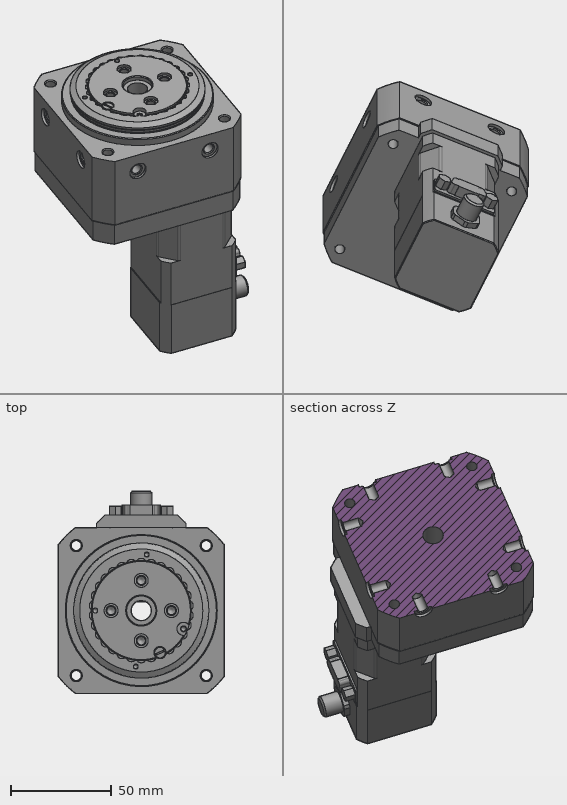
import cadquery as cq
import math


TOP_Z = 155.3
NECK_TOP_Z = 154.7
HOUSING_TOP_Z = 145.4
HOUSING_BOTTOM_Z = 106.0
PLATE_BOTTOM_Z = 94.0
MOTOR_STEP_Z = 30.3

SIDE_COUNT = 4

HOUSING_SIDE = 83.0
HOUSING_CORNER_RADIUS = 53.0
SHOULDER_DIAMETER = 76.0
SHOULDER_HEIGHT = 4.0
SHOULDER_CHAMFER = 0.5
LIP_DIAMETER = 67.5
LIP_TOP_DIAMETER = 61.5
LIP_CHAMFER_HEIGHT = 1.5
LIP_HEIGHT = 1.4
NECK_DIAMETER = 66.8
GROOVE_DIAMETER = 66.2
GROOVE_LAND = 0.5
CORNER_HOLE_DIAMETER = 5.0
CORNER_HOLE_CHAMFER = 0.55
CORNER_HOLE_PITCH = 64.9
SIDE_HOLE_PITCH = 40.0
SIDE_HOLE_DROP = 10.0
NECK_HOLE_RADIUS = 28.1
NECK_HOLE_ANGLES = (84.4, 264.4)

SCALLOP_COUNT = 30
SCALLOP_DIAMETER = 5.0
SCALLOP_CENTRE_RADIUS = 23.6
SCALLOP_DEPTH = 0.6
FIRST_SCALLOP_ANGLE = 6.0

FLANGE_DIAMETER = 50.0
FLANGE_RIM_DIAMETER = 49.0
FLANGE_RIM_HEIGHT = 1.1
FLANGE_THICKNESS = 15.5
BORE_DIAMETER = 10.0
RECESS_DIAMETER = 14.6
RECESS_DEPTH = 2.5
RECESS_CHAMFER = 0.5
FLANGE_HOLE_RADIUS = 15.0
FLANGE_HOLE_COUNT = 4
EDGE_FEATURE_RADIUS = 23.0
DOWEL_HOLE_ANGLE = 180.0
SPOTFACED_HOLE_ANGLE = -23.4
PLUG_ANGLE = -66.0
PLUG_DIAMETER = 6.0
PLUG_DEPTH = 4.7
PLUG_RECESS = 0.3
PLUG_CHAMFER = 0.39
PLUG_SLOT_LENGTH = 4.0
PLUG_SLOT_WIDTH = 0.8
PLUG_SLOT_DEPTH = 0.8

SIDE_HOLE = ((9.0, 0), (9.0, 1.4), (6.0, 1.4), (5.0, 1.9), (5.0, 10.0))
FLANGE_HOLE = ((7.0, 0), (7.0, 1.4), (5.0, 1.4), (4.2, 1.9), (4.2, 10.0))
SPOTFACED_HOLE = ((6.5, 0), (6.5, 2.0), (3.0, 2.0), (2.5, 2.3), (2.5, 7.8))
NECK_HOLE = ((2.5, 0), (2.2, 0.3), (2.2, 5.5))
DOWEL_HOLE = ((2.5, 0), (2.5, 0.5))
DRILL_POINT_ANGLE = 118.0

PLATE_SIDE = 81.7
PLATE_CORNER_RADIUS = 52.5
TONGUE_WIDTH = 44.7
TONGUE_END_Y = 47.8
TONGUE_CHAMFER = 4.3

MOTOR_Y = 25.5
MOTOR_SIDE = 41.6
MOTOR_FOOT_WIDTH = 41.8
MOTOR_FOOT_LENGTH = 42.5
MOTOR_CORNER_RADIUS = 26.9
MOTOR_FOOT_CHAMFER = 0.5
POCKET_BOTTOM_Z = 56.0
POCKET_TOP_Z = 83.1
POCKET_EDGE = 11.8
POCKET_EDGE_RADIUS = 2.0

D_CONNECTOR_Z = 37.9
D_PLATE_WIDTH = 32.6
D_PLATE_HEIGHT = 12.5
D_PLATE_CORNER_RADIUS = 1.5
D_PLATE_END_Y = 47.2
D_SHELL_TOP_WIDTH = 16.2
D_SHELL_BOTTOM_WIDTH = 20.5
D_SHELL_CORNER_RADIUS = 1.9
D_SHELL_HEIGHT = 7.3
D_PAD_WIDTH = 11.0
D_PAD_HEIGHT = 8.0
D_SHELL_END_Y = 52.8
STANDOFF_PITCH = 25.8
STANDOFF_CORNER_DIAMETER = 7.0
STANDOFF_END_Y = 52.2

HEX_SIDES = 6
HEX_TURN = 30.0

ROUND_CONNECTOR_Z = 12.7
ROUND_CONNECTOR_DIAMETER = 10.9
ROUND_CONNECTOR_END_Y = 59.6
ROUND_CONNECTOR_CHAMFER = 1.0
NUT_ACROSS_FLATS = 14.3
NUT_DIAMETER = 15.5
NUT_END_Y = 49.7


def cylinder(diameter, bottom_z, top_z):
    return cq.Workplane("XY").workplane(offset=bottom_z).circle(diameter / 2).extrude(top_z - bottom_z)


def round_cornered_block(width, length, corner_radius, bottom_z, top_z):
    """Rectangular block about the Z axis whose corners lie on one cylinder."""
    block = cq.Workplane("XY").workplane(offset=bottom_z).rect(width, length).extrude(top_z - bottom_z)
    return block.intersect(cylinder(2 * corner_radius, bottom_z, top_z))


def polar_point(radius, angle):
    return (radius * math.cos(math.radians(angle)), radius * math.sin(math.radians(angle)))


def blind_hole(outline):
    """Cutter for a blind hole down from the origin, with a conical drill point."""
    end_diameter, end_depth = outline[-1]
    point_depth = end_diameter / 2 / math.tan(math.radians(DRILL_POINT_ANGLE / 2))
    profile = cq.Workplane("XZ")
    for diameter, depth in outline:
        profile = profile.lineTo(diameter / 2, -depth)
    return profile.lineTo(0, -end_depth - point_depth).close().revolve(360, (0, 0), (0, 1))


def chamfered_mouth(diameter, chamfer, top_z):
    """Cutter for the 45 degree chamfer at the mouth of a vertical hole."""
    cone = cq.Solid.makeCone(diameter / 2, diameter / 2 + chamfer, chamfer)
    return cq.Workplane(cone.translate((0, 0, top_z - chamfer)))


def at_corners(cutter):
    """One cutter holding a copy of the given one at each of the four corner holes."""
    offset = CORNER_HOLE_PITCH / 2
    copies = cq.Workplane("XY")
    for x in (-offset, offset):
        for y in (-offset, offset):
            copies = copies.union(cutter.translate((x, y, 0)))
    return copies


def plug_cylinder(top_z):
    """Cylinder of the plug that sits astride the joint of flange and housing."""
    x, y = polar_point(EDGE_FEATURE_RADIUS, PLUG_ANGLE)
    return cylinder(PLUG_DIAMETER, TOP_Z - PLUG_DEPTH, top_z).translate((x, y, 0))


def slotted_plug():
    plug = plug_cylinder(TOP_Z - PLUG_RECESS).faces(">Z").chamfer(PLUG_CHAMFER)
    slot = (
        cq.Workplane("XY")
        .workplane(offset=TOP_Z - PLUG_RECESS - PLUG_SLOT_DEPTH)
        .center(EDGE_FEATURE_RADIUS, 0)
        .rect(PLUG_SLOT_WIDTH, PLUG_SLOT_LENGTH)
        .extrude(PLUG_SLOT_DEPTH)
        .rotate((0, 0, 0), (0, 0, 1), PLUG_ANGLE)
    )
    return plug.cut(slot)


def flange_blank():
    """Output flange without its holes, stepped in to a smaller rim at the top."""
    rim_bottom_z = TOP_Z - FLANGE_RIM_HEIGHT
    body = cylinder(FLANGE_DIAMETER, TOP_Z - FLANGE_THICKNESS, rim_bottom_z)
    return body.union(cylinder(FLANGE_RIM_DIAMETER, rim_bottom_z, TOP_Z))


def scallops():
    cutter = cq.Workplane("XY")
    for index in range(SCALLOP_COUNT):
        x, y = polar_point(SCALLOP_CENTRE_RADIUS, FIRST_SCALLOP_ANGLE + index * 360 / SCALLOP_COUNT)
        scallop = cylinder(SCALLOP_DIAMETER, NECK_TOP_Z - SCALLOP_DEPTH, NECK_TOP_Z)
        cutter = cutter.union(scallop.translate((x, y, 0)))
    return cutter


def housing_neck():
    """Turned shoulder and lipped neck on top of the housing."""
    shoulder_top_z = HOUSING_TOP_Z + SHOULDER_HEIGHT
    lip_top_z = NECK_TOP_Z - LIP_CHAMFER_HEIGHT
    lip_bottom_z = lip_top_z - LIP_HEIGHT
    groove_top_z = lip_bottom_z - GROOVE_LAND
    groove_bottom_z = shoulder_top_z + GROOVE_LAND
    return (
        cq.Workplane("XZ")
        .moveTo(0, HOUSING_TOP_Z)
        .lineTo(SHOULDER_DIAMETER / 2, HOUSING_TOP_Z)
        .lineTo(SHOULDER_DIAMETER / 2, shoulder_top_z - SHOULDER_CHAMFER)
        .lineTo(SHOULDER_DIAMETER / 2 - SHOULDER_CHAMFER, shoulder_top_z)
        .lineTo(NECK_DIAMETER / 2, shoulder_top_z)
        .lineTo(NECK_DIAMETER / 2, groove_bottom_z)
        .lineTo(GROOVE_DIAMETER / 2, groove_bottom_z)
        .lineTo(GROOVE_DIAMETER / 2, groove_top_z)
        .lineTo(NECK_DIAMETER / 2, groove_top_z)
        .lineTo(NECK_DIAMETER / 2, lip_bottom_z)
        .lineTo(LIP_DIAMETER / 2, lip_bottom_z)
        .lineTo(LIP_DIAMETER / 2, lip_top_z)
        .lineTo(LIP_TOP_DIAMETER / 2, NECK_TOP_Z)
        .lineTo(0, NECK_TOP_Z)
        .close()
        .revolve(360, (0, 0), (0, 1))
    )


def make_housing():
    body = round_cornered_block(HOUSING_SIDE, HOUSING_SIDE, HOUSING_CORNER_RADIUS, HOUSING_BOTTOM_Z, HOUSING_TOP_Z)
    body = body.union(housing_neck())
    body = body.cut(cylinder(FLANGE_DIAMETER, TOP_Z - FLANGE_THICKNESS, TOP_Z))
    body = body.cut(scallops())
    body = body.cut(plug_cylinder(TOP_Z))
    body = body.cut(cylinder(BORE_DIAMETER, HOUSING_BOTTOM_Z, TOP_Z))
    corner_hole = cylinder(CORNER_HOLE_DIAMETER, HOUSING_BOTTOM_Z, HOUSING_TOP_Z)
    corner_hole = corner_hole.union(chamfered_mouth(CORNER_HOLE_DIAMETER, CORNER_HOLE_CHAMFER, HOUSING_TOP_Z))
    body = body.cut(at_corners(corner_hole))

    neck_hole = blind_hole(NECK_HOLE)
    for angle in NECK_HOLE_ANGLES:
        x, y = polar_point(NECK_HOLE_RADIUS, angle)
        body = body.cut(neck_hole.translate((x, y, NECK_TOP_Z)))

    front_hole = blind_hole(SIDE_HOLE).rotate((0, 0, 0), (1, 0, 0), 90)
    hole_z = HOUSING_TOP_Z - SIDE_HOLE_DROP
    for side in range(SIDE_COUNT):
        for x in (-SIDE_HOLE_PITCH / 2, SIDE_HOLE_PITCH / 2):
            hole = front_hole.translate((x, -HOUSING_SIDE / 2, hole_z))
            body = body.cut(hole.rotate((0, 0, 0), (0, 0, 1), side * 360 / SIDE_COUNT))
    return body


def make_output_flange():
    flange = flange_blank()
    flange = flange.cut(cylinder(BORE_DIAMETER, TOP_Z - FLANGE_THICKNESS, TOP_Z))
    flange = flange.cut(cylinder(RECESS_DIAMETER, TOP_Z - RECESS_DEPTH, TOP_Z))
    flange = flange.cut(chamfered_mouth(RECESS_DIAMETER, RECESS_CHAMFER, TOP_Z))

    mounting_hole = blind_hole(FLANGE_HOLE)
    for index in range(FLANGE_HOLE_COUNT):
        x, y = polar_point(FLANGE_HOLE_RADIUS, index * 360 / FLANGE_HOLE_COUNT)
        flange = flange.cut(mounting_hole.translate((x, y, TOP_Z)))

    x, y = polar_point(EDGE_FEATURE_RADIUS, DOWEL_HOLE_ANGLE)
    dowel_hole = blind_hole(DOWEL_HOLE)
    flange = flange.cut(dowel_hole.translate((x, y, TOP_Z)))

    x, y = polar_point(EDGE_FEATURE_RADIUS, SPOTFACED_HOLE_ANGLE)
    flange = flange.cut(blind_hole(SPOTFACED_HOLE).translate((x, y, TOP_Z)))

    return flange.cut(plug_cylinder(TOP_Z)).union(slotted_plug())


def make_base_plate():
    plate = round_cornered_block(PLATE_SIDE, PLATE_SIDE, PLATE_CORNER_RADIUS, PLATE_BOTTOM_Z, HOUSING_BOTTOM_Z)
    tongue = (
        cq.Workplane("XY")
        .workplane(offset=PLATE_BOTTOM_Z)
        .center(0, TONGUE_END_Y / 2)
        .rect(TONGUE_WIDTH, TONGUE_END_Y)
        .extrude(HOUSING_BOTTOM_Z - PLATE_BOTTOM_Z)
        .edges("|Z and >Y")
        .chamfer(TONGUE_CHAMFER)
    )
    plate = plate.union(tongue)
    plate = plate.cut(cylinder(BORE_DIAMETER, PLATE_BOTTOM_Z, HOUSING_BOTTOM_Z))
    return plate.cut(at_corners(cylinder(CORNER_HOLE_DIAMETER, PLATE_BOTTOM_Z, HOUSING_BOTTOM_Z)))


def corner_pocket():
    """Cutter for the +X +Y motor corner: a 45 degree flat rounded into both sides."""
    side = MOTOR_SIDE / 2
    along = POCKET_EDGE + POCKET_EDGE_RADIUS * math.sin(math.radians(45))
    inward = side - POCKET_EDGE_RADIUS * (1 - math.cos(math.radians(45)))
    return (
        cq.Workplane("XY")
        .workplane(offset=POCKET_BOTTOM_Z)
        .moveTo(POCKET_EDGE, side)
        .radiusArc((along, inward), POCKET_EDGE_RADIUS)
        .lineTo(inward, along)
        .radiusArc((side, POCKET_EDGE), POCKET_EDGE_RADIUS)
        .lineTo(side, side)
        .close()
        .extrude(POCKET_TOP_Z - POCKET_BOTTOM_Z)
    )


def motor_body():
    """Square motor with a slightly larger foot and a pocket at each corner, about the Z axis."""
    upper = round_cornered_block(MOTOR_SIDE, MOTOR_SIDE, MOTOR_CORNER_RADIUS, MOTOR_STEP_Z, PLATE_BOTTOM_Z)
    foot = round_cornered_block(MOTOR_FOOT_WIDTH, MOTOR_FOOT_LENGTH, MOTOR_CORNER_RADIUS, 0, MOTOR_STEP_Z)
    body = upper.union(foot.faces("<Z").chamfer(MOTOR_FOOT_CHAMFER))
    for corner in range(SIDE_COUNT):
        body = body.cut(corner_pocket().rotate((0, 0, 0), (0, 0, 1), corner * 360 / SIDE_COUNT))
    return body


def back_sketch(z):
    """Sketch plane through the motor axis at height z; negative extrusions run towards +Y."""
    return cq.Workplane("XZ", origin=(0, MOTOR_Y, z))


def d_connector():
    plate = back_sketch(D_CONNECTOR_Z).rect(D_PLATE_WIDTH, D_PLATE_HEIGHT)
    plate = plate.extrude(MOTOR_Y - D_PLATE_END_Y).edges("|Y").fillet(D_PLATE_CORNER_RADIUS)
    shell = back_sketch(D_CONNECTOR_Z).polyline(
        [
            (-D_SHELL_TOP_WIDTH / 2, D_SHELL_HEIGHT / 2),
            (D_SHELL_TOP_WIDTH / 2, D_SHELL_HEIGHT / 2),
            (D_SHELL_BOTTOM_WIDTH / 2, -D_SHELL_HEIGHT / 2),
            (-D_SHELL_BOTTOM_WIDTH / 2, -D_SHELL_HEIGHT / 2),
        ]
    )
    shell = shell.close().extrude(MOTOR_Y - D_SHELL_END_Y).edges("|Y").fillet(D_SHELL_CORNER_RADIUS)
    pad = back_sketch(D_CONNECTOR_Z).rect(D_PAD_WIDTH, D_PAD_HEIGHT)
    pad = pad.extrude(MOTOR_Y - D_SHELL_END_Y)
    connector = plate.union(shell).union(pad)
    for x in (-STANDOFF_PITCH / 2, STANDOFF_PITCH / 2):
        standoff = back_sketch(D_CONNECTOR_Z).polygon(HEX_SIDES, STANDOFF_CORNER_DIAMETER)
        standoff = standoff.extrude(MOTOR_Y - STANDOFF_END_Y)
        standoff = standoff.rotate((0, 0, D_CONNECTOR_Z), (0, 1, D_CONNECTOR_Z), HEX_TURN)
        connector = connector.union(standoff.translate((x, 0, 0)))
    return connector


def round_connector():
    nut_corner_diameter = NUT_ACROSS_FLATS / math.cos(math.pi / HEX_SIDES)
    nut_length = MOTOR_Y - NUT_END_Y
    nut = back_sketch(ROUND_CONNECTOR_Z).polygon(HEX_SIDES, nut_corner_diameter).extrude(nut_length)
    nut = nut.rotate((0, 0, ROUND_CONNECTOR_Z), (0, 1, ROUND_CONNECTOR_Z), HEX_TURN)
    nut = nut.intersect(back_sketch(ROUND_CONNECTOR_Z).circle(NUT_DIAMETER / 2).extrude(nut_length))
    barrel = back_sketch(ROUND_CONNECTOR_Z).circle(ROUND_CONNECTOR_DIAMETER / 2)
    barrel = barrel.extrude(MOTOR_Y - ROUND_CONNECTOR_END_Y).faces(">Y").chamfer(ROUND_CONNECTOR_CHAMFER)
    return nut.union(barrel)


def make_motor():
    motor = motor_body().translate((0, MOTOR_Y, 0))
    return motor.union(d_connector()).union(round_connector())


housing = make_housing()
output_flange = make_output_flange()
base_plate = make_base_plate()
motor = make_motor()

result = cq.Compound.makeCompound([housing.val(), output_flange.val(), base_plate.val(), motor.val()])